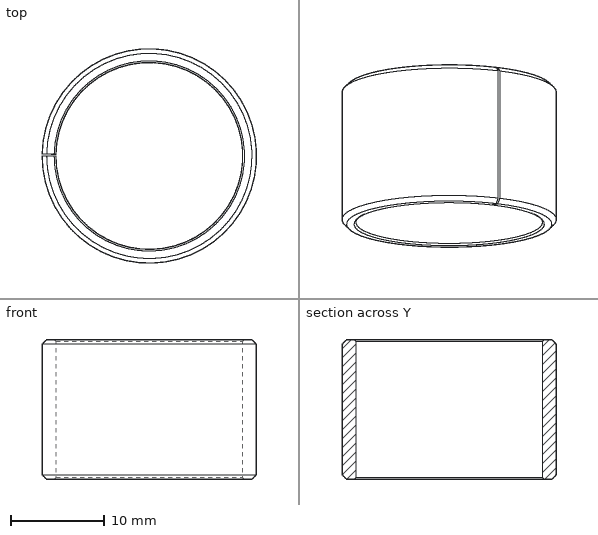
import cadquery as cq

outer_diameter = 23.0
bore_diameter = 20.0
length = 15.0

outer_chamfer = 0.5
bore_chamfer = 0.2
split_angle = 1.0

outer_radius = outer_diameter / 2
bore_radius = bore_diameter / 2
half_length = length / 2


def wall_section():
    """Wall section on the -X side, with all four edges chamfered."""
    upper_half = [
        (-outer_radius, half_length - outer_chamfer),
        (-(outer_radius - outer_chamfer), half_length),
        (-(bore_radius + bore_chamfer), half_length),
        (-bore_radius, half_length - bore_chamfer),
    ]
    lower_half = [(x, -z) for x, z in reversed(upper_half)]
    return cq.Workplane("XZ").polyline(upper_half + lower_half).close()


result = wall_section().revolve(360 - split_angle, (0, 0), (0, 1))